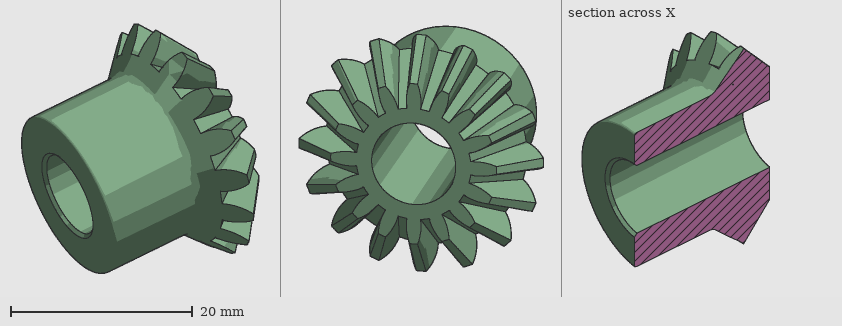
import cadquery as cq
import math

length = 19.05
tip_radius = 13.82
front_radius = 9.37
hub_radius = 9.5
hub_edge_radius = 0.4
neck_fillet_radius = 1.1
bore_radius = 4.75
bore_chamfer = 0.4

back_cone_offset = 1.58
tip_y = tip_radius + back_cone_offset
neck_y = hub_radius + back_cone_offset

tooth_count = 16
tooth_pitch_angle = 360 / tooth_count
pitch_radius = 12.8
apex_y = 2 * pitch_radius + back_cone_offset

flank_root = (1.37, 11.28)
flank_middle = (1.3, 12.5)
flank_tip = (0.54, 13.82)
flank_beyond_tip = (0.05, 14.38)

cutter_start_y = 10.5
cutter_end_y = length + 0.83

selection_margin = 0.28


def edges_near(y):
    """Select the edges whose centre lies in a thin slab across the axis."""
    return cq.selectors.BoxSelector(
        (-tip_radius, y - selection_margin, -tip_radius),
        (tip_radius, y + selection_margin, tip_radius),
    )


def make_blank():
    """Revolve the hub and toothed cone, then round the hub edges."""
    blank = (
        cq.Workplane("XY")
        .lineTo(hub_radius, 0)
        .lineTo(hub_radius, neck_y)
        .lineTo(tip_radius, tip_y)
        .lineTo(front_radius, length)
        .lineTo(0, length)
        .close()
        .revolve(360, (0, 0, 0), (0, 1, 0))
    )
    blank = blank.edges(edges_near(neck_y)).fillet(neck_fillet_radius)
    return blank.edges(edges_near(0)).fillet(hub_edge_radius)


def project(point, plane_y):
    """Project a back-cone point from the apex onto a plane across the axis."""
    point_y = math.hypot(*point) + back_cone_offset
    scale = (apex_y - plane_y) / (apex_y - point_y)
    return point[0] * scale, point[1] * scale


def across_gap(point):
    """Mirror a flank point onto the facing flank of the next tooth."""
    angle = math.radians(tooth_pitch_angle)
    x, z = point
    return (
        -x * math.cos(angle) + z * math.sin(angle),
        x * math.sin(angle) + z * math.cos(angle),
    )


def gap_section(plane, plane_y):
    """Draw the outline of one tooth gap on a plane across the axis."""
    root, middle, tip, outer = (
        project(point, plane_y) for point in (flank_root, flank_middle, flank_tip, flank_beyond_tip)
    )
    root_radius = math.hypot(*root)
    half_pitch = math.radians(tooth_pitch_angle / 2)
    root_middle = (root_radius * math.sin(half_pitch), root_radius * math.cos(half_pitch))
    return (
        plane.moveTo(*outer)
        .lineTo(*tip)
        .threePointArc(middle, root)
        .threePointArc(root_middle, across_gap(root))
        .threePointArc(across_gap(middle), across_gap(tip))
        .lineTo(*across_gap(outer))
        .close()
    )


def make_gap_cutter():
    """Loft one tapered tooth gap along the rays through the apex."""
    start = gap_section(cq.Workplane("XZ", origin=(0, cutter_start_y, 0)), cutter_start_y)
    end_plane = start.workplane(offset=cutter_start_y - cutter_end_y)
    return gap_section(end_plane, cutter_end_y).loft(ruled=True)


def make_bore_cutter():
    """Through bore, chamfered at the hub end."""
    mouth_radius = bore_radius + bore_chamfer
    return (
        cq.Workplane("XY")
        .lineTo(mouth_radius, 0)
        .lineTo(bore_radius, bore_chamfer)
        .lineTo(bore_radius, length)
        .lineTo(0, length)
        .close()
        .revolve(360, (0, 0, 0), (0, 1, 0))
    )


gear = make_blank().cut(make_bore_cutter())
gap_cutter = make_gap_cutter()
for index in range(tooth_count):
    gear = gear.cut(gap_cutter.rotate((0, 0, 0), (0, 1, 0), index * tooth_pitch_angle))

result = gear